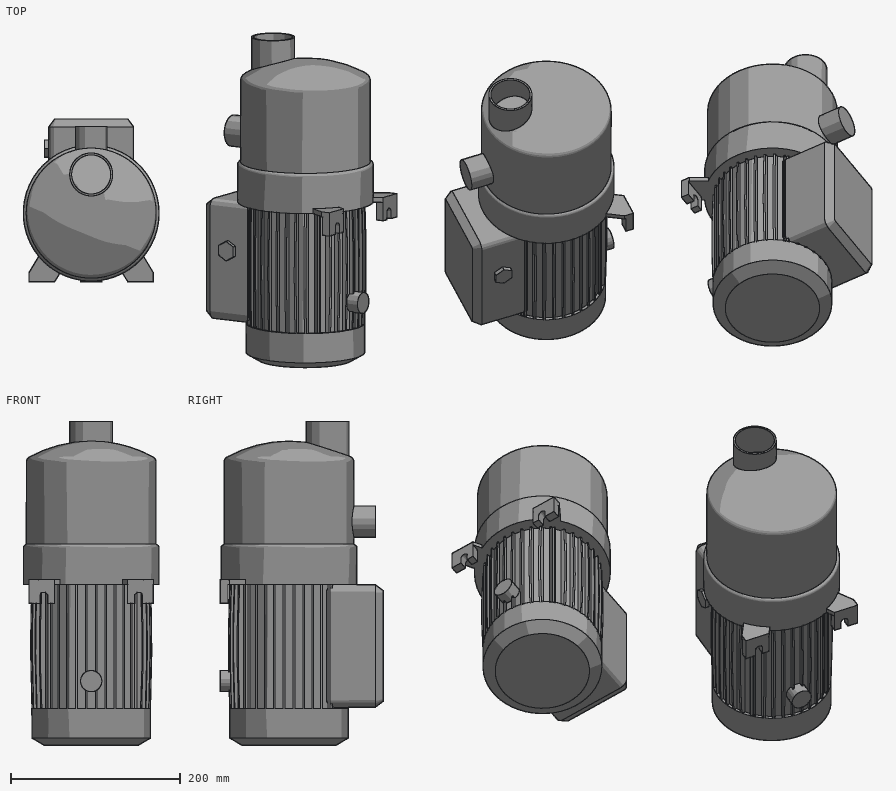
import cadquery as cq
import math

cap_chamfer_height = 8.5
cap_top = 43.5
collar_bottom = 189.0
inlet_top = 381.0

cap_radius = 70.0
cap_chamfer_width = 14.5
core_radius = 66.5
rib_radius = 71.5
corner_rib_reach = 51.0
rib_thickness = 2.0
ribs_per_quarter = 10
corner_angle = 45.0

front_y = -81.0
plug_radius = 12.5
plug_height = 75.5

box_width = 100.0
box_back_y = 111.0
box_front_y = 40.0
box_bottom = 44.7
box_corner_radius = 10.0
box_chamfer_depth = 9.5
box_chamfer_inset = 7.0

hex_across_flats = 20.5
hex_length = 5.0
hex_y = 75.9
hex_height = 130.2

collar_radius = 80.0
collar_shoulder_radius = 3.6
collar_crown_height = 257.4
tank_radius = 76.5
tank_shoulder_radius = 6.8
tank_crown_height = 358.0
dome_radius = 151.0

inlet_y = 45.5
inlet_radius = 25.3
inlet_bore_radius = 23.0
outlet_radius = 18.6
outlet_end_y = 102.0
outlet_height = 263.2

foot_outer_x = 73.2
foot_inner_x = 43.0
foot_plate_thickness = 9.5
foot_top = 194.9
foot_slab_thickness = foot_top - collar_bottom
foot_height = 28.0
foot_side_height = 11.0
foot_slope = math.radians(59.0)
slot_x = 55.8
slot_width = 9.0
slot_top = 180.0


def upright_cylinder(radius, bottom, top, y=0.0):
    return cq.Workplane("XY", origin=(0, y, bottom)).circle(radius).extrude(top - bottom)


def make_end_cap():
    profile = [
        (0, 0),
        (cap_radius - cap_chamfer_width, 0),
        (cap_radius, cap_chamfer_height),
        (cap_radius, cap_top),
        (0, cap_top),
    ]
    return cq.Workplane("XZ").polyline(profile).close().revolve(360, (0, 0), (0, 1))


def make_rib_envelope():
    middle = (cap_top + collar_bottom) / 2
    return (
        cq.Workplane("XZ")
        .moveTo(0, cap_top)
        .lineTo(cap_radius, cap_top)
        .threePointArc((rib_radius, middle), (cap_radius, collar_bottom))
        .lineTo(0, collar_bottom)
        .close()
        .revolve(360, (0, 0), (0, 1))
    )


def make_rib(offset, reach):
    return (
        cq.Workplane("XY")
        .box(reach, rib_thickness, collar_bottom - cap_top, centered=(False, True, False))
        .translate((0, offset, cap_top))
    )


def make_ribbed_barrel():
    envelope = make_rib_envelope()
    barrel = upright_cylinder(core_radius, cap_top, collar_bottom)
    for i in range(ribs_per_quarter):
        angle = -corner_angle + i * 2 * corner_angle / (ribs_per_quarter - 1)
        offset = core_radius * math.sin(math.radians(angle))
        is_corner = i in (0, ribs_per_quarter - 1)
        rib = make_rib(offset, corner_rib_reach if is_corner else rib_radius).intersect(envelope)
        for quarter in range(4):
            barrel = barrel.union(rib.rotate((0, 0, 0), (0, 0, 1), 90 * quarter))
    return barrel


def make_terminal_box():
    depth = box_back_y - box_front_y
    box = (
        cq.Workplane("XY")
        .box(box_width, depth, collar_bottom - box_bottom, centered=(True, False, False))
        .translate((0, box_front_y, box_bottom))
        .edges("|Y")
        .fillet(box_corner_radius)
    )
    back_edges = box.faces(">Y").edges().vals()
    return cq.Workplane(box.val().chamfer(box_chamfer_inset, box_chamfer_depth, back_edges))


def make_hex_plug():
    across_corners = hex_across_flats / math.cos(math.pi / 6)
    return (
        cq.Workplane("YZ", origin=(-box_width / 2, hex_y, hex_height))
        .transformed(rotate=(0, 0, 30))
        .polygon(6, across_corners)
        .extrude(-hex_length)
    )


def make_drain_plug():
    return (
        cq.Workplane("XZ", origin=(0, 0, plug_height))
        .circle(plug_radius)
        .extrude(-front_y)
    )


motor = (
    make_ribbed_barrel()
    .union(make_end_cap())
    .union(make_terminal_box())
    .union(make_hex_plug())
    .union(make_drain_plug())
)


def domed_cylinder(radius, shoulder_radius, crown_height):
    dome_center = crown_height - dome_radius
    shoulder_x = radius - shoulder_radius
    lean = math.asin(shoulder_x / (dome_radius - shoulder_radius))
    shoulder_z = dome_center + (dome_radius - shoulder_radius) * math.cos(lean)

    def on_dome(angle):
        return (dome_radius * math.sin(angle), dome_center + dome_radius * math.cos(angle))

    middle = (lean + math.pi / 2) / 2
    shoulder_middle = (
        shoulder_x + shoulder_radius * math.sin(middle),
        shoulder_z + shoulder_radius * math.cos(middle),
    )
    return (
        cq.Workplane("XZ")
        .moveTo(0, collar_bottom)
        .lineTo(radius, collar_bottom)
        .lineTo(radius, shoulder_z)
        .threePointArc(shoulder_middle, on_dome(lean))
        .threePointArc(on_dome(lean / 2), (0, crown_height))
        .close()
        .revolve(360, (0, 0), (0, 1))
    )


def make_inlet_pipe(tank):
    pipe = (
        cq.Workplane("XY", origin=(0, inlet_y, collar_bottom))
        .circle(inlet_radius)
        .circle(inlet_bore_radius)
        .extrude(inlet_top - collar_bottom)
    )
    return pipe.cut(tank)


def make_outlet():
    return (
        cq.Workplane("XZ", origin=(0, 0, outlet_height))
        .circle(outlet_radius)
        .extrude(-outlet_end_y)
    )


def make_foot(side):
    rise_y = -50.0
    tan_slope = math.tan(foot_slope)
    side_top_y = front_y + foot_side_height
    outline = [
        (foot_inner_x, front_y),
        (foot_outer_x, front_y),
        (foot_outer_x, side_top_y),
        (foot_outer_x - (rise_y - side_top_y) / tan_slope, rise_y),
        (foot_inner_x - (rise_y - front_y) / tan_slope, rise_y),
    ]
    slab = (
        cq.Workplane("XY", origin=(0, 0, collar_bottom))
        .polyline(outline)
        .close()
        .extrude(foot_slab_thickness)
    )
    plate = (
        cq.Workplane("XY")
        .box(foot_outer_x - foot_inner_x, foot_plate_thickness, foot_height, centered=False)
        .translate((foot_inner_x, front_y, foot_top - foot_height))
    )
    slot_bottom = foot_top - foot_height
    slot_center = slot_top - slot_width / 2
    slot = (
        cq.Workplane("XZ", origin=(0, front_y, 0))
        .moveTo(slot_x - slot_width / 2, slot_bottom)
        .lineTo(slot_x + slot_width / 2, slot_bottom)
        .lineTo(slot_x + slot_width / 2, slot_center)
        .threePointArc((slot_x, slot_top), (slot_x - slot_width / 2, slot_center))
        .close()
        .extrude(-foot_plate_thickness)
    )
    foot = slab.union(plate).cut(slot)
    return foot if side > 0 else foot.mirror("YZ")


tank = domed_cylinder(tank_radius, tank_shoulder_radius, tank_crown_height)
collar = domed_cylinder(collar_radius, collar_shoulder_radius, collar_crown_height)
casing = tank.union(collar).union(make_inlet_pipe(tank)).union(make_outlet())
for side in (-1, 1):
    casing = casing.union(make_foot(side))

result = cq.Compound.makeCompound([motor.val(), casing.val()])